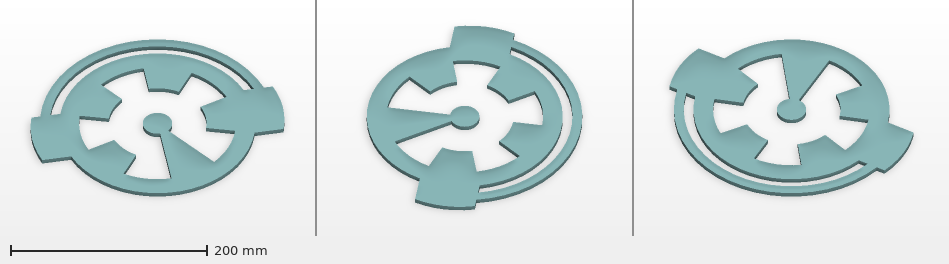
import cadquery as cq
import math

THICKNESS = 5.0
HUB_RADIUS = 15.0
SPOKE_INNER_RADIUS = 50.0
RIM_INNER_RADIUS = 80.0
RIM_OUTER_RADIUS = 100.0
BAND_INNER_RADIUS = 110.0
BAND_OUTER_RADIUS = 120.0
TAB_OFFSET = 30.0

SECTOR_COUNT = 10
SECTOR_ANGLE = 360.0 / SECTOR_COUNT
SPOKE_START_SECTORS = (1, 3, 5, 7)
HUB_ARM_START_SECTOR = 9
TAB_START_SECTORS = (1, 6)


def polar(radius, angle):
    """Point at a radius and an angle in degrees about the wheel centre."""
    a = math.radians(angle)
    return (radius * math.cos(a), radius * math.sin(a))


def disc(radius):
    return cq.Workplane("XY").circle(radius).extrude(THICKNESS)


def ring(inner_radius, outer_radius):
    return cq.Workplane("XY").circle(outer_radius).circle(inner_radius).extrude(THICKNESS)


def ring_sector(inner_radius, outer_radius, start_angle, end_angle):
    """Part of a flat ring between two radial edges."""
    middle_angle = (start_angle + end_angle) / 2
    return (
        cq.Workplane("XY")
        .moveTo(*polar(inner_radius, start_angle))
        .lineTo(*polar(outer_radius, start_angle))
        .threePointArc(polar(outer_radius, middle_angle), polar(outer_radius, end_angle))
        .lineTo(*polar(inner_radius, end_angle))
        .threePointArc(polar(inner_radius, middle_angle), polar(inner_radius, start_angle))
        .close()
        .extrude(THICKNESS)
    )


def sector_middle_angle(start_sector):
    return (start_sector + 0.5) * SECTOR_ANGLE


def spoke(start_sector):
    """Stub spoke reaching inward from the rim."""
    start_angle = start_sector * SECTOR_ANGLE
    return ring_sector(SPOKE_INNER_RADIUS, RIM_OUTER_RADIUS, start_angle, start_angle + SECTOR_ANGLE)


def hub_arm():
    """Full wedge joining the hub at the wheel centre to the rim."""
    start_angle = HUB_ARM_START_SECTOR * SECTOR_ANGLE
    end_angle = start_angle + SECTOR_ANGLE
    return (
        cq.Workplane("XY")
        .lineTo(*polar(RIM_OUTER_RADIUS, start_angle))
        .threePointArc(
            polar(RIM_OUTER_RADIUS, (start_angle + end_angle) / 2),
            polar(RIM_OUTER_RADIUS, end_angle),
        )
        .close()
        .extrude(THICKNESS)
    )


def tab(start_sector):
    """Parallel-sided tab: the rim arc of one sector swept straight outward."""
    start_angle = start_sector * SECTOR_ANGLE
    end_angle = start_angle + SECTOR_ANGLE
    middle_angle = sector_middle_angle(start_sector)
    shift_x, shift_y = polar(TAB_OFFSET, middle_angle)

    def shifted(angle):
        x, y = polar(RIM_OUTER_RADIUS, angle)
        return (x + shift_x, y + shift_y)

    return (
        cq.Workplane("XY")
        .moveTo(*polar(RIM_OUTER_RADIUS, start_angle))
        .lineTo(*shifted(start_angle))
        .threePointArc(shifted(middle_angle), shifted(end_angle))
        .lineTo(*polar(RIM_OUTER_RADIUS, end_angle))
        .close()
        .extrude(THICKNESS)
    )


def outer_band():
    """Narrow half ring whose ends run into the middles of the two tabs."""
    start_angle, end_angle = (sector_middle_angle(s) for s in TAB_START_SECTORS)
    return ring_sector(BAND_INNER_RADIUS, BAND_OUTER_RADIUS, start_angle, end_angle)


result = ring(RIM_INNER_RADIUS, RIM_OUTER_RADIUS).union(disc(HUB_RADIUS)).union(hub_arm())
for sector in SPOKE_START_SECTORS:
    result = result.union(spoke(sector))
for sector in TAB_START_SECTORS:
    result = result.union(tab(sector))
result = result.union(outer_band())